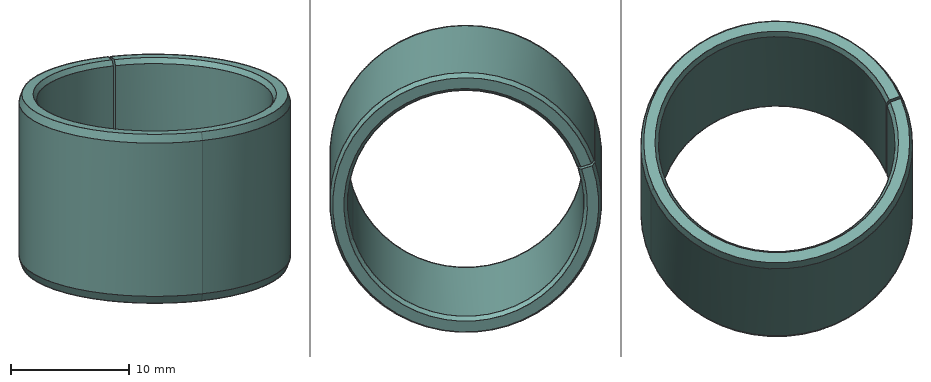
import cadquery as cq

outer_radius = 11.5
wall_thickness = 1.5
inner_radius = outer_radius - wall_thickness
length = 15.0

outer_chamfer_width = 0.25
outer_chamfer_height = 0.7
inner_chamfer_width = 0.3
inner_chamfer_height = 0.45

joint_gap = 0.2


def make_ring():
    """Revolve the chamfered wall section around Z."""
    half_length = length / 2
    outer_face_end = half_length - outer_chamfer_height
    inner_face_end = half_length - inner_chamfer_height
    end_outer_radius = outer_radius - outer_chamfer_width
    end_inner_radius = inner_radius + inner_chamfer_width
    section = (
        cq.Workplane("XZ")
        .moveTo(outer_radius, -outer_face_end)
        .lineTo(outer_radius, outer_face_end)
        .lineTo(end_outer_radius, half_length)
        .lineTo(end_inner_radius, half_length)
        .lineTo(inner_radius, inner_face_end)
        .lineTo(inner_radius, -inner_face_end)
        .lineTo(end_inner_radius, -half_length)
        .lineTo(end_outer_radius, -half_length)
        .close()
    )
    return section.revolve(360, (0, 0, 0), (0, 1, 0))


def make_joint_cutter():
    """Thin slab reaching from the axis out past the -X wall."""
    slab_reach = outer_radius + wall_thickness
    slab_height = length + 2 * wall_thickness
    slab = cq.Workplane("XY").box(slab_reach, joint_gap, slab_height)
    return slab.translate((-slab_reach / 2, joint_gap / 2, 0))


result = make_ring().cut(make_joint_cutter())